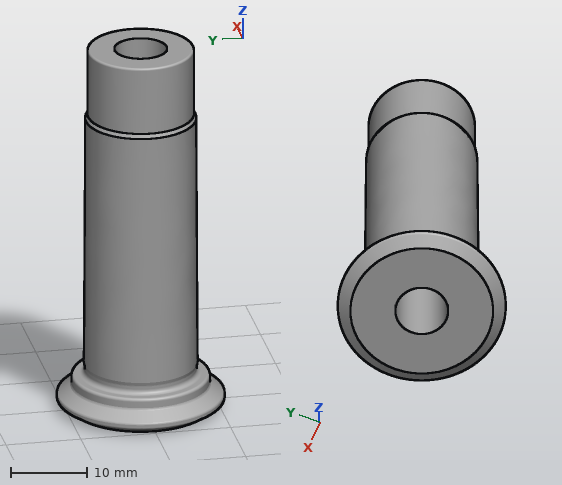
import cadquery as cq

total_height = 50.5
flange_radius = 22.0 / 2
bore_radius = 6.9 / 2

base_radius = 9.35
rim_bottom = 1.05
rim_top = 1.75
rim_round = 0.3
flange_top = 3.05

collar_radius = 9.1
collar_top = 4.5
collar_edge_round = 0.4
collar_foot_round = 0.35

neck_radius = 14.7 / 2
neck_top = 5.6
neck_foot_round = 0.65
neck_top_round = 0.5

body_bottom = 6.1
body_bottom_radius = 7.45
body_top = 40.7
body_top_radius = 14.6 / 2

spigot_radius = 14.0 / 2
spigot_bottom = 41.3
spigot_edge_round = 0.3


def circle_edge(radius, height):
    """Select the circular edge of the given radius at the given height."""
    tolerance = 0.025
    reach = radius + tolerance
    return cq.selectors.BoxSelector(
        (-reach, -reach, height - tolerance),
        (reach, reach, height + tolerance),
        boundingbox=True,
    ) - cq.selectors.BoxSelector(
        (-radius + tolerance, -radius + tolerance, height - tolerance),
        (radius - tolerance, radius - tolerance, height + tolerance),
        boundingbox=True,
    )


half_section = [
    (bore_radius, 0),
    (base_radius, 0),
    (flange_radius, rim_bottom),
    (flange_radius, rim_top),
    (collar_radius, flange_top),
    (collar_radius, collar_top),
    (neck_radius, collar_top),
    (neck_radius, neck_top),
    (body_bottom_radius, body_bottom),
    (body_top_radius, body_top),
    (spigot_radius, spigot_bottom),
    (spigot_radius, total_height),
    (bore_radius, total_height),
]
result = cq.Workplane("XZ").polyline(half_section).close().revolve(360, (0, 0, 0), (0, 1, 0))

rounded_edges = [
    (flange_radius, rim_bottom, rim_round),
    (flange_radius, rim_top, rim_round),
    (collar_radius, flange_top, collar_foot_round),
    (collar_radius, collar_top, collar_edge_round),
    (neck_radius, collar_top, neck_foot_round),
    (neck_radius, neck_top, neck_top_round),
    (spigot_radius, total_height, spigot_edge_round),
]
for edge_radius, edge_height, round_size in rounded_edges:
    result = result.edges(circle_edge(edge_radius, edge_height)).fillet(round_size)